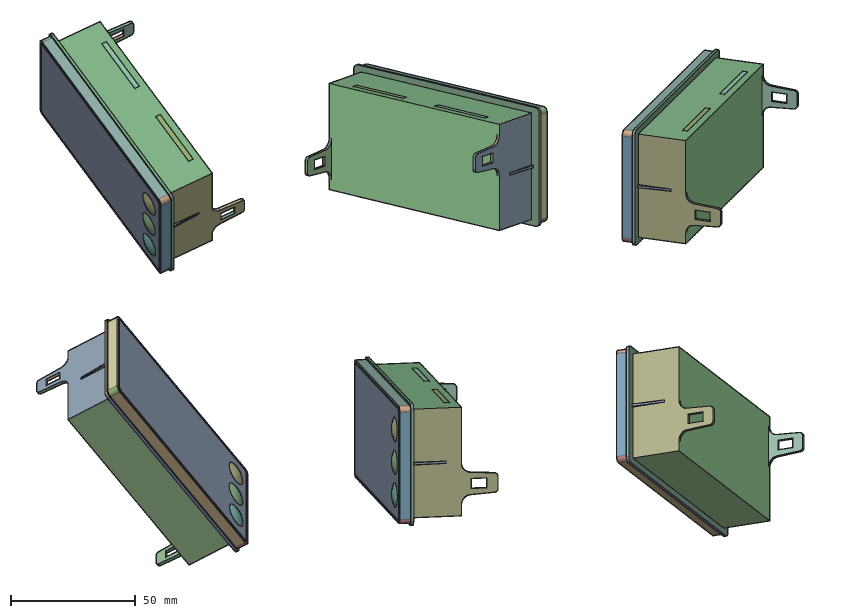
import cadquery as cq
import math


HOUSING_WIDTH = 88.6
HOUSING_HEIGHT = 44.5
HOUSING_DEPTH = 20.3

BAR_LENGTH = 26.1
BAR_WIDTH = 2.1
BAR_DEPTH = 1.0
BAR_OFFSET_X = 21.2
BAR_Y = 16.2

TAB_THICKNESS = 1.3
TAB_Z = 9.2
TAB_TIP_Y = 35.2
TAB_TIP_HALF_WIDTH = 3.9
TAB_ROOT_HALF_WIDTH = 4.8
TAB_TIP_RADIUS = 1.5
TAB_ROOT_RADIUS = 4.0
WINDOW_LENGTH = 6.5
WINDOW_HEIGHT = 4.1
WINDOW_Y = 27.5

RIB_LENGTH = 14.0
RIB_THICKNESS = 1.0
RIB_BASE_HEIGHT = 1.0
RIB_TIP_HEIGHT = 0.1

FLANGE_WIDTH = 96.55
FLANGE_HEIGHT = 49.7
FLANGE_THICKNESS = 1.2
BEZEL_WIDTH = 95.7
BEZEL_HEIGHT = 48.1
BEZEL_THICKNESS = 4.4
CORNER_RADIUS = 2.0
RIM_WIDTH = 93.7
RIM_HEIGHT = 46.15
RIM_CORNER_RADIUS = 1.2
RIM_WALL = 0.2
PANEL_WIDTH = RIM_WIDTH - 2 * RIM_WALL
PANEL_HEIGHT = RIM_HEIGHT - 2 * RIM_WALL
PANEL_CORNER_RADIUS = 1.7
PANEL_THICKNESS = 0.3

BUTTON_DIAMETER = 9.9
BUTTON_RISE = 1.3
BUTTON_CENTRES = [(38.7, 13.0), (38.7, -0.4), (39.0, -13.7)]

BEZEL_BACK_Y = -FLANGE_THICKNESS
PANEL_BACK_Y = BEZEL_BACK_Y - BEZEL_THICKNESS
PANEL_FRONT_Y = PANEL_BACK_Y - PANEL_THICKNESS


def rounded_plate(width, height, radius, back_y, thickness):
    """Upright plate with round corners, reaching forward from back_y."""
    plate = cq.Workplane("XZ", origin=(0, back_y, 0)).rect(width, height).extrude(thickness)
    return plate.edges("|Y").fillet(radius)


def mounting_tab(side, centre_z):
    """Tapered, windowed tab in the plane of one housing side (-1 or +1), filleted into the rear wall."""
    wall_half_width = TAB_ROOT_HALF_WIDTH + 2 * TAB_ROOT_RADIUS
    foot_y = HOUSING_DEPTH - TAB_ROOT_RADIUS
    upper_outline = [
        (TAB_TIP_Y, TAB_TIP_HALF_WIDTH),
        (HOUSING_DEPTH, TAB_ROOT_HALF_WIDTH),
        (HOUSING_DEPTH, wall_half_width),
        (foot_y, wall_half_width),
    ]
    lower_outline = [(y, -z) for y, z in reversed(upper_outline)]
    tab = cq.Workplane("YZ").polyline(upper_outline + lower_outline).close().extrude(-side * TAB_THICKNESS)
    tab = tab.edges("|X and >Y").fillet(TAB_TIP_RADIUS)
    for half_width in (-TAB_ROOT_HALF_WIDTH, TAB_ROOT_HALF_WIDTH):
        corner_point = (-side * TAB_THICKNESS / 2, HOUSING_DEPTH, half_width)
        root_corner = cq.selectors.NearestToPointSelector(corner_point)
        tab = tab.edges("|X").edges(root_corner).fillet(TAB_ROOT_RADIUS)
    window = cq.Workplane("XY").box(4 * TAB_THICKNESS, WINDOW_LENGTH, WINDOW_HEIGHT)
    tab = tab.cut(window.translate((0, WINDOW_Y, 0)))
    return tab.translate((side * HOUSING_WIDTH / 2, 0, centre_z))


def side_rib(side):
    """Wedge on one housing side, thinning towards the rear."""
    wall_x = side * HOUSING_WIDTH / 2
    outline = [
        (wall_x, 0),
        (wall_x + side * RIB_BASE_HEIGHT, 0),
        (wall_x + side * RIB_TIP_HEIGHT, RIB_LENGTH),
        (wall_x, RIB_LENGTH),
    ]
    return cq.Workplane("XY").polyline(outline).close().extrude(RIB_THICKNESS / 2, both=True)


def label_bar(centre_x):
    """Bar whose upper face is level with the housing top."""
    centre = (centre_x, BAR_Y, HOUSING_HEIGHT / 2 - BAR_DEPTH / 2)
    return cq.Workplane("XY").box(BAR_LENGTH, BAR_WIDTH, BAR_DEPTH).translate(centre)


def make_housing(bars):
    """Block with one tab per side at opposite heights, side ribs and pockets for the bars."""
    housing = cq.Workplane("XY").box(HOUSING_WIDTH, HOUSING_DEPTH, HOUSING_HEIGHT)
    housing = housing.translate((0, HOUSING_DEPTH / 2, 0))
    housing = housing.union(mounting_tab(-1, TAB_Z)).union(mounting_tab(1, -TAB_Z))
    for side in (-1, 1):
        housing = housing.union(side_rib(side))
    for bar in bars:
        housing = housing.cut(bar)
    return housing


def make_bezel(panel):
    """Bezel plate with a thin raised rim around the front panel."""
    plate = rounded_plate(BEZEL_WIDTH, BEZEL_HEIGHT, CORNER_RADIUS, BEZEL_BACK_Y, BEZEL_THICKNESS)
    rim = rounded_plate(RIM_WIDTH, RIM_HEIGHT, RIM_CORNER_RADIUS, PANEL_BACK_Y, PANEL_THICKNESS)
    return plate.union(rim.cut(panel))


def button(centre_x, centre_z):
    """Spherical cap standing on the front panel."""
    radius = BUTTON_DIAMETER / 2
    sphere_radius = (radius**2 + BUTTON_RISE**2) / (2 * BUTTON_RISE)
    half_angle = math.asin(radius / sphere_radius) / 2
    mid_radius = sphere_radius * math.sin(half_angle)
    mid_rise = BUTTON_RISE - sphere_radius * (1 - math.cos(half_angle))
    profile = (
        cq.Workplane("XY")
        .lineTo(radius, 0)
        .threePointArc((mid_radius, -mid_rise), (0, -BUTTON_RISE))
        .close()
    )
    cap = profile.revolve(360, (0, 0, 0), (0, 1, 0))
    return cap.translate((centre_x, PANEL_FRONT_Y, centre_z))


bars = [label_bar(side * BAR_OFFSET_X) for side in (-1, 1)]
housing = make_housing(bars)
flange = rounded_plate(FLANGE_WIDTH, FLANGE_HEIGHT, CORNER_RADIUS, 0, FLANGE_THICKNESS)
panel = rounded_plate(PANEL_WIDTH, PANEL_HEIGHT, PANEL_CORNER_RADIUS, PANEL_BACK_Y, PANEL_THICKNESS)
bezel = make_bezel(panel)
buttons = [button(x, z) for x, z in BUTTON_CENTRES]

result = cq.Compound.makeCompound(
    [
        housing.val(),
        *[bar.val() for bar in bars],
        flange.val(),
        bezel.val(),
        panel.val(),
        *[cap.val() for cap in buttons],
    ]
)